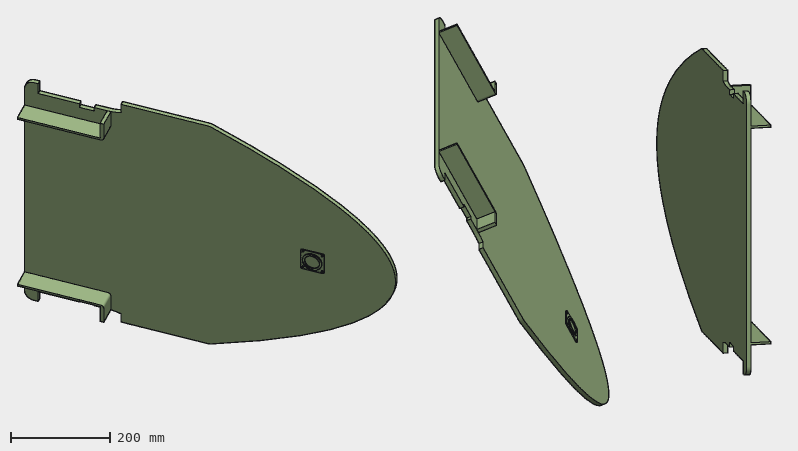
import cadquery as cq

LENGTH = 800.0
HEIGHT = 588.0
THICKNESS = 9.5
HALF_HEIGHT = HEIGHT / 2
NOSE_START = 399.0
NOSE_BLEND = 26.0
CORNER_RADIUS = 21.0

RECESS_START = 29.5
RECESS_END = 208.0
RECESS_DEPTH = 26.0
RAMP_START = 178.0
RAMP_RISE = 4.0
NOTCH_START = 118.0
NOTCH_END = 150.0
NOTCH_DEPTH = 9.5

TOTAL_DEPTH = 50.0
RAIL_LENGTH = 186.0
RAIL_WIDTH = 45.0
RAIL_SIDE_WALL = 5.0
RAIL_END_WALL = 8.0
RAIL_CORNER_RADIUS = 7.0

FITTING_X = 621.5
FITTING_SIZE = 51.0
FITTING_CORNER_RADIUS = 4.0
FLANGE_THICKNESS = 2.0
RING_HEIGHT = 2.0
RING_OUTER_RADIUS = 21.0
RING_INNER_RADIUS = 16.0
SCREW_HOLE_RADIUS = 1.5
SCREW_SPACING = 41.5

FLOOR = HALF_HEIGHT - RECESS_DEPTH


def front_sketch(depth):
    """XZ workplane at the given distance in front of the back face."""
    return cq.Workplane("XZ", origin=(0, -depth, 0))


def mirrored_pair(solid):
    return solid.union(solid.mirror("XY"))


def make_plate():
    control_x = NOSE_START + 2 * (LENGTH - NOSE_START)
    plate = (
        front_sketch(0)
        .moveTo(0, -HALF_HEIGHT)
        .lineTo(NOSE_START, -HALF_HEIGHT)
        .bezier([(NOSE_START, -HALF_HEIGHT), (control_x, 0), (NOSE_START, HALF_HEIGHT)])
        .lineTo(0, HALF_HEIGHT)
        .close()
        .extrude(THICKNESS)
    )
    plate = plate.edges("|Y").edges("<X").fillet(CORNER_RADIUS)
    return plate.edges(cq.selectors.BoxSelector(
        (NOSE_START - 1.0, -THICKNESS, -HEIGHT),
        (NOSE_START + 1.0, 0, HEIGHT),
    )).edges("|Y").fillet(NOSE_BLEND)


def make_edge_recess():
    upper = (
        front_sketch(0)
        .moveTo(RECESS_START, HEIGHT)
        .lineTo(RECESS_START, FLOOR)
        .lineTo(NOTCH_START, FLOOR)
        .lineTo(NOTCH_START, FLOOR - NOTCH_DEPTH)
        .lineTo(NOTCH_END, FLOOR - NOTCH_DEPTH)
        .lineTo(NOTCH_END, FLOOR)
        .lineTo(RAMP_START, FLOOR)
        .tangentArcPoint((RECESS_END, FLOOR + RAMP_RISE), relative=False)
        .lineTo(RECESS_END, HEIGHT)
        .close()
        .extrude(THICKNESS)
    )
    return mirrored_pair(upper)


def make_rails():
    rail_depth = TOTAL_DEPTH - THICKNESS
    bottom = FLOOR - RAIL_WIDTH
    outer = (
        front_sketch(THICKNESS)
        .rect(RAIL_LENGTH, RAIL_WIDTH, centered=False)
        .extrude(rail_depth)
        .edges("|Y and >X and <Z")
        .fillet(RAIL_CORNER_RADIUS)
    )
    hollow = (
        front_sketch(THICKNESS)
        .moveTo(0, RAIL_SIDE_WALL)
        .rect(RAIL_LENGTH - RAIL_END_WALL, RAIL_WIDTH - RAIL_SIDE_WALL, centered=False)
        .extrude(rail_depth)
    )
    return mirrored_pair(outer.cut(hollow).translate((0, 0, bottom)))


def make_fitting():
    flange = (
        front_sketch(THICKNESS)
        .rect(FITTING_SIZE, FITTING_SIZE)
        .extrude(FLANGE_THICKNESS)
        .edges("|Y")
        .fillet(FITTING_CORNER_RADIUS)
    )
    screw_holes = (
        front_sketch(THICKNESS)
        .rect(SCREW_SPACING, SCREW_SPACING, forConstruction=True)
        .vertices()
        .circle(SCREW_HOLE_RADIUS)
        .extrude(FLANGE_THICKNESS)
    )
    ring = (
        front_sketch(THICKNESS + FLANGE_THICKNESS)
        .circle(RING_OUTER_RADIUS)
        .circle(RING_INNER_RADIUS)
        .extrude(RING_HEIGHT)
    )
    return flange.cut(screw_holes).union(ring).translate((FITTING_X, 0, 0))


result = make_plate().cut(make_edge_recess()).union(make_rails()).union(make_fitting())